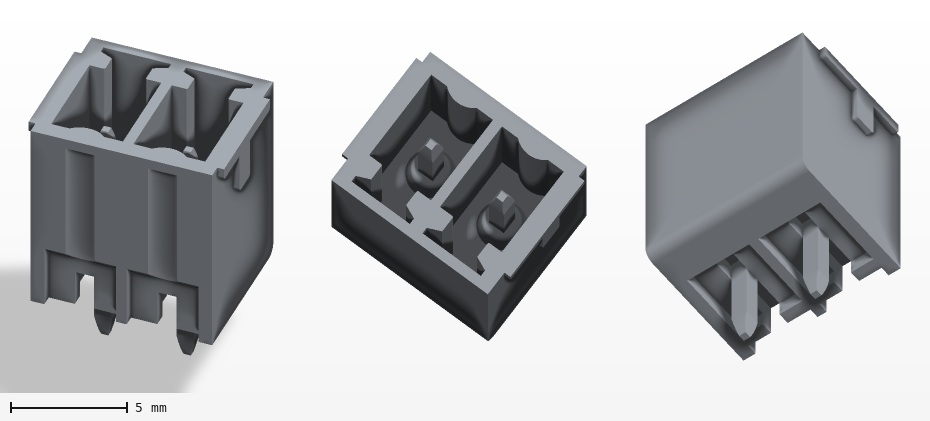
import cadquery as cq
import math

overall_width = 9.01
housing_width = 8.38
housing_depth = 7.05
housing_height = 9.2
overall_height = 12.4
rear_edge_radius = 0.52

pin_pitch = 3.81
pin_setback = 3.0
pin_side = 0.79
pin_tip_side = 0.33
pin_point_length = 1.07
pin_top_gap = 1.39

pocket_width = 3.31
divider = 0.48
front_wall = 0.78
pocket_back = 5.21
pocket_floor = 2.53
neck_width = 1.87
neck_back = 6.01
head_width = 3.12
head_front = 6.29
head_back = 6.58
neck_corner_radius = 0.07
bump_radius = 1.19
bump_height = 0.31

boss_base_radius = 1.09
boss_shoulder_radius = 0.89
boss_height = 0.87
boss_edge_radius = 0.2

groove_radius = 0.79
groove_depth = 0.37
groove_top_gap = 0.48
recess_depth = 0.51
recess_roof_front = 3.0
recess_roof_back = 2.48

cavity_height = 0.77
cavity_front_wall = 0.58
slot_height = 1.72
slot_width = 0.89

rib_bar_front = 0.57
rib_bar_back = 5.87
rib_bar_height = 0.57
rib_stem_width = 1.18
rib_stem_setback = 2.96
rib_height = 2.48
rib_corner_radius = 0.15

front_y = -housing_depth / 2
pin_y = front_y + pin_setback
pin_bottom = housing_height - overall_height
pin_top = housing_height - pin_top_gap
sides = (-1, 1)
pin_xs = [side * pin_pitch / 2 for side in sides]
pocket_xs = [side * (divider + pocket_width) / 2 for side in sides]


def box(x, width, y_front, y_back, z_bottom, z_top):
    """Box centred on x, between two places in Y and in Z."""
    return (
        cq.Workplane("XY")
        .box(width, y_back - y_front, z_top - z_bottom, centered=(True, False, False))
        .translate((x, y_front, z_bottom))
    )


def make_shell():
    """Outer block with its rounded lower back edge."""
    block = box(0, housing_width, front_y, front_y + housing_depth, 0, housing_height)
    return block.edges("|X and >Y and <Z").fillet(rear_edge_radius)


def make_end_rib(side):
    """T-shaped rib on one end face, with rounded lower corners."""
    bar_bottom = housing_height - rib_bar_height
    rib_bottom = housing_height - rib_height
    stem_y = front_y + rib_stem_setback
    thickness = (overall_width - housing_width) / 2
    x = side * (housing_width + thickness) / 2
    bar = box(x, thickness, front_y + rib_bar_front, front_y + rib_bar_back, bar_bottom, housing_height)
    stem = box(
        x,
        thickness,
        stem_y - rib_stem_width / 2,
        stem_y + rib_stem_width / 2,
        rib_bottom,
        housing_height,
    )
    bar = bar.edges("|X and <Z").fillet(rib_corner_radius)
    stem = stem.edges("|X and <Z").fillet(rib_corner_radius)
    return bar.union(stem)


def make_pocket(pocket_x, pin_x):
    """Rectangular pocket with a dovetail keyway behind it and a rounded bump on its front wall."""
    margin = neck_corner_radius / 2
    neck_y = front_y + pocket_back
    pocket_front = front_y + front_wall
    height = housing_height - pocket_floor
    main = box(pocket_x, pocket_width, pocket_front, neck_y, pocket_floor, housing_height)
    keyway = (
        cq.Workplane("XY", origin=(pin_x, front_y, pocket_floor))
        .moveTo(-neck_width / 2, front_wall + bump_height)
        .lineTo(-neck_width / 2, neck_back)
        .lineTo(-head_width / 2, head_front)
        .lineTo(-head_width / 2, head_back)
        .lineTo(head_width / 2, head_back)
        .lineTo(head_width / 2, head_front)
        .lineTo(neck_width / 2, neck_back)
        .lineTo(neck_width / 2, front_wall + bump_height)
        .close()
        .extrude(height)
    )
    bump = (
        cq.Workplane("XY", origin=(pin_x, pocket_front + bump_height - bump_radius, pocket_floor))
        .circle(bump_radius)
        .extrude(height)
    )
    neck_corners = cq.selectors.BoxSelector(
        (pin_x - neck_width / 2 - margin, neck_y - margin, pocket_floor),
        (pin_x + neck_width / 2 + margin, neck_y + margin, housing_height),
    )
    pocket = main.union(keyway).edges("|Z").edges(neck_corners).fillet(neck_corner_radius)
    return pocket.cut(bump)


def make_boss(x):
    """Tapered round boss with a rounded rim, standing on the pocket floor."""
    rim_slope = math.atan2(boss_height - boss_edge_radius, boss_base_radius - boss_shoulder_radius)
    top_radius = boss_base_radius - boss_height / math.tan(rim_slope)
    return (
        cq.Workplane("XZ", origin=(x, pin_y, pocket_floor))
        .lineTo(boss_base_radius, 0)
        .lineTo(top_radius, boss_height)
        .lineTo(0, boss_height)
        .close()
        .revolve(360, (0, 0, 0), (0, 1, 0))
        .edges(">Z")
        .fillet(boss_edge_radius)
    )


def make_groove(x):
    """Round upright groove in the front face, running down into the recess below it."""
    groove_top = housing_height - groove_top_gap
    return (
        cq.Workplane("XY", origin=(x, front_y + groove_depth - groove_radius, recess_roof_back))
        .circle(groove_radius)
        .extrude(groove_top - recess_roof_back)
    )


def make_recess(x):
    """Recess at the foot of the front face, its roof sloping down toward the back."""
    return (
        cq.Workplane("YZ", origin=(x - pocket_width / 2, front_y, 0))
        .lineTo(recess_depth, 0)
        .lineTo(recess_depth, recess_roof_back)
        .lineTo(0, recess_roof_front)
        .close()
        .extrude(pocket_width)
    )


def make_cavity(pocket_x, pin_x):
    """Cavity open to the underside, centred on the pin in Y, with a taller slot through its front wall."""
    cavity_front = front_y + recess_depth + cavity_front_wall
    cavity_back = 2 * pin_y - cavity_front
    cavity = box(pocket_x, pocket_width, cavity_front, cavity_back, 0, cavity_height)
    slot = box(pin_x, slot_width, front_y, cavity_back, 0, slot_height)
    return cavity.union(slot)


def make_pin(x):
    """Square pin, both ends pointed: straight flanks in X and arched flanks in Y."""
    half = pin_side / 2
    tip = pin_tip_side / 2
    lower_point = pin_bottom + pin_point_length
    upper_point = pin_top - pin_point_length

    inset = half - tip
    arch_radius = (pin_point_length**2 + inset**2) / (2 * inset)
    mid_height = pin_point_length / 2
    mid_half = half - arch_radius + math.sqrt(arch_radius**2 - mid_height**2)

    straight_profile = (
        cq.Workplane("XZ", origin=(x, pin_y, 0))
        .polyline(
            [
                (-tip, pin_bottom),
                (tip, pin_bottom),
                (half, lower_point),
                (half, upper_point),
                (tip, pin_top),
                (-tip, pin_top),
                (-half, upper_point),
                (-half, lower_point),
            ]
        )
        .close()
        .extrude(half, both=True)
    )
    arched_profile = (
        cq.Workplane("YZ", origin=(x, pin_y, 0))
        .moveTo(-tip, pin_bottom)
        .lineTo(tip, pin_bottom)
        .threePointArc((mid_half, lower_point - mid_height), (half, lower_point))
        .lineTo(half, upper_point)
        .threePointArc((mid_half, upper_point + mid_height), (tip, pin_top))
        .lineTo(-tip, pin_top)
        .threePointArc((-mid_half, upper_point + mid_height), (-half, upper_point))
        .lineTo(-half, lower_point)
        .threePointArc((-mid_half, lower_point - mid_height), (-tip, pin_bottom))
        .close()
        .extrude(half, both=True)
    )
    return straight_profile.intersect(arched_profile)


def make_housing():
    """Housing with one pocket, boss, groove, recess, cavity and pin hole per pin."""
    body = make_shell()
    for side in sides:
        body = body.union(make_end_rib(side))
    for pocket_x, pin_x in zip(pocket_xs, pin_xs):
        body = body.cut(make_pocket(pocket_x, pin_x))
        body = body.union(make_boss(pin_x))
        body = body.cut(make_recess(pocket_x))
        body = body.cut(make_groove(pin_x))
        body = body.cut(make_cavity(pocket_x, pin_x))
        body = body.cut(make_pin(pin_x))
    return body


housing = make_housing()
pins = [make_pin(x) for x in pin_xs]

result = cq.Compound.makeCompound([housing.val(), *[pin.val() for pin in pins]])